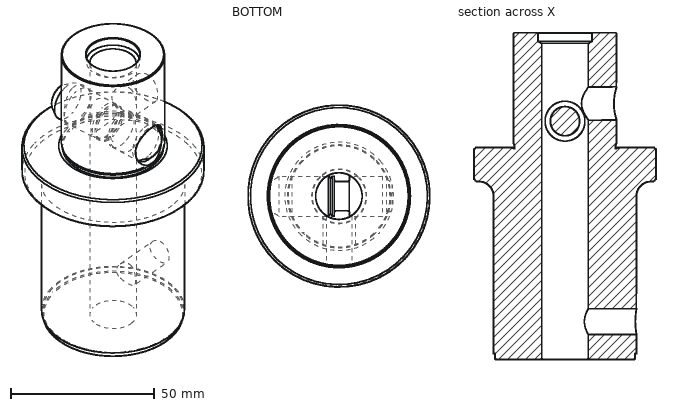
import cadquery as cq
import math

total_height = 114.0

body_radius = 25.0
flange_diameter = 63.5
shank_length = 40.0
flange_thickness = 12.0
flange_top_chamfer = 0.7
flange_bottom_chamfer = 0.9
flange_fillet = 5.0
spigot_radius = 24.5
spigot_height = 2.0
spigot_chamfer = 0.3

shank_radius = 18.0
shank_chamfer = 0.3
relief_radius = 17.7
relief_outer_radius = 18.9
relief_depth = 0.5
relief_height = 1.5
relief_taper = 0.9

bore_radius = 8.1
counterbore_radius = 9.3
counterbore_depth = 3.1
counterbore_chamfer = 0.2
bore_cone_height = 0.7

pin_radius = 7.0
pin_axis_z = 83.1
countersink_radius = 7.9
countersink_angle = 30.0

shank_hole_radius = 5.7
shank_hole_z = 89.3
body_hole_radius = 4.5
body_hole_z = 13.2

pin_joint_x = -3.0
pin_length = 21.4
pin_joint_chamfer = 0.7
pin_cone_length = 3.4
pin_cone_end_radius = 4.8
pin_tip_fillet = 0.8
neck_radius = 5.1
neck_start = 1.4
neck_end = 6.6
neck_fillet = 0.7

flange_radius = flange_diameter / 2
flange_top = total_height - shank_length
flange_bottom = flange_top - flange_thickness

fillet_inset = flange_fillet * (1 - math.sqrt(0.5))


def make_housing_blank():
    """Solid of revolution about Z: lower body, flange and shank."""
    profile = (
        cq.Workplane("XZ")
        .lineTo(spigot_radius - spigot_chamfer, 0)
        .lineTo(spigot_radius, spigot_chamfer)
        .lineTo(spigot_radius, spigot_height)
        .lineTo(body_radius, spigot_height)
        .lineTo(body_radius, flange_bottom - flange_fillet)
        .threePointArc(
            (body_radius + fillet_inset, flange_bottom - fillet_inset),
            (body_radius + flange_fillet, flange_bottom),
        )
        .lineTo(flange_radius - flange_bottom_chamfer, flange_bottom)
        .lineTo(flange_radius, flange_bottom + flange_bottom_chamfer)
        .lineTo(flange_radius, flange_top - flange_top_chamfer)
        .lineTo(flange_radius - flange_top_chamfer, flange_top)
        .lineTo(relief_outer_radius, flange_top)
        .lineTo(relief_radius, flange_top - relief_depth)
        .lineTo(relief_radius, flange_top + relief_height - relief_taper)
        .lineTo(shank_radius, flange_top + relief_height)
        .lineTo(shank_radius, total_height - shank_chamfer)
        .lineTo(shank_radius - shank_chamfer, total_height)
        .lineTo(0, total_height)
        .close()
    )
    return profile.revolve(360, (0, 0, 0), (0, 1, 0))


def make_central_bore():
    """Through bore with a counterbore and a conical seat at the top."""
    seat_top = total_height - counterbore_depth
    profile = (
        cq.Workplane("XZ")
        .lineTo(bore_radius, 0)
        .lineTo(bore_radius, seat_top - bore_cone_height)
        .lineTo(counterbore_radius, seat_top)
        .lineTo(counterbore_radius, total_height - counterbore_chamfer)
        .lineTo(counterbore_radius + counterbore_chamfer, total_height)
        .lineTo(0, total_height)
        .close()
    )
    return profile.revolve(360, (0, 0, 0), (0, 1, 0))


def make_cross_hole():
    """Hole along X through the shank, countersunk at both mouths."""
    countersink_depth = (countersink_radius - pin_radius) / math.tan(math.radians(countersink_angle))
    cone_start = shank_radius - countersink_depth
    profile = (
        cq.Workplane("XZ", origin=(0, 0, pin_axis_z))
        .moveTo(-shank_radius, 0)
        .lineTo(-shank_radius, countersink_radius)
        .lineTo(-cone_start, pin_radius)
        .lineTo(cone_start, pin_radius)
        .lineTo(shank_radius, countersink_radius)
        .lineTo(shank_radius, 0)
        .close()
    )
    return profile.revolve(360, (0, 0, 0), (1, 0, 0))


def make_side_hole(hole_radius, hole_z, wall_radius):
    """Radial hole from the +Y side of a cylindrical wall into the central bore."""
    return (
        cq.Workplane("XZ", origin=(0, 0, hole_z))
        .circle(hole_radius)
        .extrude(-wall_radius)
    )


def make_housing():
    housing = make_housing_blank()
    cutters = [
        make_central_bore(),
        make_cross_hole(),
        make_side_hole(shank_hole_radius, shank_hole_z, shank_radius),
        make_side_hole(body_hole_radius, body_hole_z, body_radius),
    ]
    for cutter in cutters:
        housing = housing.cut(cutter)
    return housing


def make_plain_pin():
    """Pin along +X from the origin: chamfered inner end, conical outer tip."""
    pin = (
        cq.Workplane("XZ")
        .lineTo(0, pin_radius - pin_joint_chamfer)
        .lineTo(pin_joint_chamfer, pin_radius)
        .lineTo(pin_length - pin_cone_length, pin_radius)
        .lineTo(pin_length, pin_cone_end_radius)
        .lineTo(pin_length, 0)
        .close()
        .revolve(360, (0, 0, 0), (1, 0, 0))
    )
    return pin.faces(">X").edges().fillet(pin_tip_fillet)


def make_neck_groove():
    """Ring that cuts the neck, with rounded corners at its floor."""
    ring_width = neck_end - neck_start
    ring = (
        cq.Workplane("YZ", origin=(neck_start, 0, 0))
        .circle(pin_radius + neck_fillet)
        .circle(neck_radius)
        .extrude(ring_width)
    )
    floor_edges = cq.selectors.RadiusNthSelector(0)
    return ring.edges(floor_edges).fillet(neck_fillet)


def make_plunger_pin():
    """Pin pointing to -X whose tip stands out of the shank."""
    return (
        make_plain_pin()
        .rotate((0, 0, 0), (0, 0, 1), 180)
        .translate((pin_joint_x, 0, pin_axis_z))
    )


def make_necked_pin():
    """Pin pointing to +X with a neck that crosses the central bore."""
    return (
        make_plain_pin()
        .cut(make_neck_groove())
        .translate((pin_joint_x, 0, pin_axis_z))
    )


housing = make_housing()
plunger_pin = make_plunger_pin()
necked_pin = make_necked_pin()

result = cq.Compound.makeCompound([housing.val(), plunger_pin.val(), necked_pin.val()])